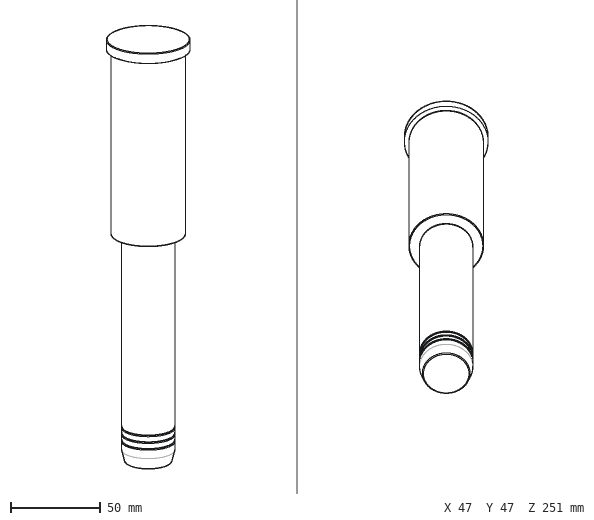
import cadquery as cq

total_length = 251.0

head_diameter = 47.0
head_height = 6.0
head_edge_chamfer = 0.5

body_diameter = 42.0
body_end_depth = 116.0
body_end_chamfer = 0.5

relief_width = 1.0
relief_depth = 0.2

pin_diameter = 30.0

groove_count = 3
groove_pitch = 4.0
groove_width = 1.0
groove_depth = 0.5
lowest_groove_height = 12.5

tip_height = 7.0
tip_diameter = 26.5
tip_edge_chamfer = 0.5

head_radius = head_diameter / 2
body_radius = body_diameter / 2
pin_radius = pin_diameter / 2
head_bottom = total_length - head_height
body_bottom = total_length - body_end_depth


def revolve_about_axis(section):
    """Full turn of a closed XZ section about Z."""
    return section.revolve(360, (0, 0, 0), (0, 1, 0))


def cylinder(radius, bottom, top):
    """Solid cylinder on the Z axis between two heights."""
    return cq.Workplane("XY").workplane(offset=bottom).circle(radius).extrude(top - bottom)


def tapered_tip():
    """Conical lead-in at the lower end of the pin."""
    section = (
        cq.Workplane("XZ")
        .lineTo(tip_diameter / 2, 0)
        .lineTo(pin_radius, tip_height)
        .lineTo(0, tip_height)
        .close()
    )
    return revolve_about_axis(section).faces("<Z").chamfer(tip_edge_chamfer)


def stepped_pin():
    """Tip, pin, body and head stacked along Z."""
    pin = cylinder(pin_radius, tip_height, body_bottom)
    body = cylinder(body_radius, body_bottom, head_bottom).faces("<Z").chamfer(body_end_chamfer)
    head = cylinder(head_radius, head_bottom, total_length).faces(">Z").chamfer(head_edge_chamfer)
    return tapered_tip().union(pin).union(body).union(head)


def lubrication_groove(height):
    """Ring with a V section, deepest at the given height and widening past the pin wall."""
    section = (
        cq.Workplane("XZ")
        .moveTo(pin_radius - groove_depth, height)
        .lineTo(pin_radius + groove_depth, height + groove_width)
        .lineTo(pin_radius + groove_depth, height - groove_width)
        .close()
    )
    return revolve_about_axis(section)


def relief_groove(shaft_radius, shoulder_height):
    """Shallow undercut directly below a shoulder, sloping in over its lower half and straight above."""
    bottom = shoulder_height - relief_width
    section = (
        cq.Workplane("XZ")
        .moveTo(shaft_radius, bottom)
        .lineTo(shaft_radius - relief_depth, bottom + relief_width / 2)
        .lineTo(shaft_radius - relief_depth, shoulder_height)
        .lineTo(shaft_radius, shoulder_height)
        .close()
    )
    return revolve_about_axis(section)


result = stepped_pin()
result = result.cut(relief_groove(body_radius, head_bottom))
result = result.cut(relief_groove(pin_radius, body_bottom))

for index in range(groove_count):
    result = result.cut(lubrication_groove(lowest_groove_height + index * groove_pitch))